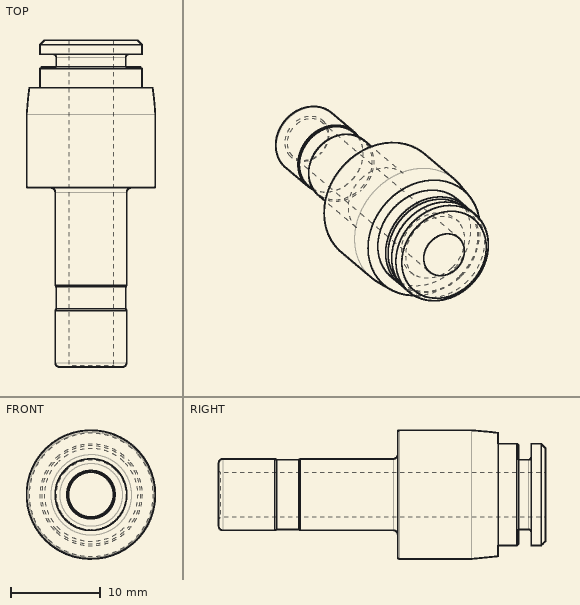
import cadquery as cq

total_length = 36.5
stem_length = 20.0
body_length = 8.2
shoulder_length = 3.0
collar_length = 2.3
neck_length = 1.4
groove_start = 6.5
groove_width = 2.45
groove_ramp_length = 0.2

bore_radius = 2.5
stem_radius = 4.0
groove_radius = 3.9
body_radius = 7.2
shoulder_end_radius = 6.9
shoulder_bulge = 0.03
collar_radius = 5.7
neck_radius = 3.9
flange_radius = 5.7

bore_chamfer = 0.2
tip_fillet = 0.5
root_fillet = 0.5
body_edge_fillet = 0.2
collar_chamfer = 0.2
neck_fillet = 0.3
flange_chamfer = 0.5

tip_y = -total_length / 2
flange_end_y = total_length / 2
groove_start_y = tip_y + groove_start
groove_end_y = groove_start_y + groove_width
body_start_y = tip_y + stem_length
shoulder_start_y = body_start_y + body_length
shoulder_end_y = shoulder_start_y + shoulder_length
shoulder_mid_y = (shoulder_start_y + shoulder_end_y) / 2
shoulder_mid_radius = (body_radius + shoulder_end_radius) / 2 + shoulder_bulge
collar_end_y = shoulder_end_y + collar_length
flange_start_y = collar_end_y + neck_length


def stem_profile():
    """Half-section from the bore mouth along the tip face and the grooved stem."""
    return (
        cq.Workplane("XY")
        .moveTo(bore_radius, tip_y + bore_chamfer)
        .lineTo(bore_radius + bore_chamfer, tip_y)
        .lineTo(stem_radius - tip_fillet, tip_y)
        .tangentArcPoint((stem_radius, tip_y + tip_fillet), relative=False)
        .lineTo(stem_radius, groove_start_y - groove_ramp_length)
        .lineTo(groove_radius, groove_start_y)
        .lineTo(groove_radius, groove_end_y)
        .lineTo(stem_radius, groove_end_y + groove_ramp_length)
        .lineTo(stem_radius, body_start_y - root_fillet)
        .tangentArcPoint((stem_radius + root_fillet, body_start_y), relative=False)
    )


def add_body(profile):
    """Straight body whose shoulder narrows along a shallow arc towards the collar."""
    return (
        profile
        .lineTo(body_radius - body_edge_fillet, body_start_y)
        .tangentArcPoint((body_radius, body_start_y + body_edge_fillet), relative=False)
        .lineTo(body_radius, shoulder_start_y)
        .threePointArc((shoulder_mid_radius, shoulder_mid_y), (shoulder_end_radius, shoulder_end_y))
    )


def add_collar_and_flange(profile):
    """Collar, narrow neck and release flange, closed along the through bore."""
    return (
        profile
        .lineTo(collar_radius, shoulder_end_y)
        .lineTo(collar_radius, collar_end_y - collar_chamfer)
        .lineTo(collar_radius - collar_chamfer, collar_end_y)
        .lineTo(neck_radius, collar_end_y)
        .lineTo(neck_radius, flange_start_y - neck_fillet)
        .tangentArcPoint((neck_radius + neck_fillet, flange_start_y), relative=False)
        .lineTo(flange_radius, flange_start_y)
        .lineTo(flange_radius, flange_end_y - flange_chamfer)
        .lineTo(flange_radius - flange_chamfer, flange_end_y)
        .lineTo(bore_radius, flange_end_y)
        .close()
    )


half_section = add_collar_and_flange(add_body(stem_profile()))
result = half_section.revolve(360, (0, 0, 0), (0, 1, 0))